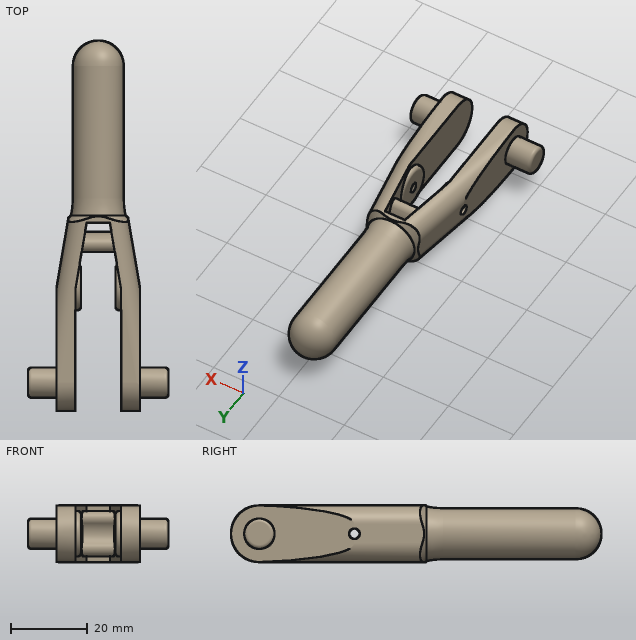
import cadquery as cq
import math


ROD_RADIUS = 6.75
ROD_TIP_Y = 90.0

FORK_HEIGHT = 15.0
FORK_WIDTH = 22.0
ARM_THICKNESS = 5.0
TAPER_ANGLE = 9.65
TAPER_START_Y = 25.0
ARM_EDGE_RADIUS = 5.0
SLOT_END_Y = 42.0

NECK_ARC_START_Y = 44.0
NECK_ARC_START_RADIUS = 7.2
NECK_ARC_END_Y = 48.4
NECK_CONE_BASE_RADIUS = 16.0

PIN_RADIUS = 4.0
PIN_SPAN = 37.0
PIN_EDGE_RADIUS = 1.0

DISC_Y = 25.0
DISC_RADIUS = 6.0
DISC_GAP = 9.0
DISC_EDGE_RADIUS = 1.0
CROSS_HOLE_RADIUS = 1.35

BAR_CENTER_Y = 31.4
BAR_MID_RADIUS = 6.3
BAR_THICKNESS = 4.0
BAR_HALF_ANGLE = 39.0

half_height = FORK_HEIGHT / 2
half_width = FORK_WIDTH / 2
slot_half_width = half_width - ARM_THICKNESS
taper_slope = math.tan(math.radians(TAPER_ANGLE))
taper_thickness_x = ARM_THICKNESS / math.cos(math.radians(TAPER_ANGLE))


def outer_taper_x(y):
    """X of the tapered outer arm face."""
    return half_width - (y - TAPER_START_Y) * taper_slope


def inner_taper_x(y):
    """X of the tapered inner arm face, parallel to the outer one."""
    return outer_taper_x(y) - taper_thickness_x


def cylinder_x(radius, y, x_start, x_end):
    """Cylinder parallel to X between two X positions."""
    return (
        cq.Workplane("YZ", origin=(x_start, 0, 0))
        .center(y, 0)
        .circle(radius)
        .extrude(x_end - x_start)
    )


def mirrored_pair(body):
    """A body together with its mirror image across the YZ plane."""
    return body.union(body.mirror("YZ"))


def make_fork_blank():
    """Tapered wedge with rounded long edges, trimmed to width and rounded about the pin."""
    wedge = (
        cq.Workplane("XY", origin=(0, 0, -half_height))
        .moveTo(-outer_taper_x(-half_height), -half_height)
        .lineTo(outer_taper_x(-half_height), -half_height)
        .lineTo(outer_taper_x(NECK_ARC_END_Y), NECK_ARC_END_Y)
        .lineTo(-outer_taper_x(NECK_ARC_END_Y), NECK_ARC_END_Y)
        .close()
        .extrude(FORK_HEIGHT)
        .edges("not(|X or |Z)")
        .fillet(ARM_EDGE_RADIUS)
    )
    side_outline = (
        cq.Workplane("YZ", origin=(-half_width, 0, 0))
        .moveTo(NECK_ARC_END_Y, -half_height)
        .lineTo(NECK_ARC_END_Y, half_height)
        .lineTo(0, half_height)
        .threePointArc((-half_height, 0), (0, -half_height))
        .close()
        .extrude(FORK_WIDTH)
    )
    return wedge.intersect(side_outline)


def make_neck_envelope():
    """45 degree cone about the rod axis that rounds off the rear end of the fork."""
    cone_start_y = NECK_ARC_START_Y - (NECK_CONE_BASE_RADIUS - NECK_ARC_START_RADIUS)
    return (
        cq.Workplane("XY")
        .moveTo(0, -half_height)
        .lineTo(NECK_CONE_BASE_RADIUS, -half_height)
        .lineTo(NECK_CONE_BASE_RADIUS, cone_start_y)
        .lineTo(NECK_ARC_START_RADIUS, NECK_ARC_START_Y)
        .lineTo(0, NECK_ARC_START_Y)
        .close()
        .revolve(360, (0, 0, 0), (0, 1, 0))
    )


def make_rod():
    """Round rod with a hemispherical tip and a concave flare onto the neck."""
    dome_start_y = ROD_TIP_Y - ROD_RADIUS
    dome_mid = ROD_RADIUS * math.sqrt(0.5)
    return (
        cq.Workplane("XY")
        .moveTo(0, ROD_TIP_Y)
        .threePointArc((dome_mid, dome_start_y + dome_mid), (ROD_RADIUS, dome_start_y))
        .lineTo(ROD_RADIUS, NECK_ARC_END_Y)
        .tangentArcPoint((NECK_ARC_START_RADIUS, NECK_ARC_START_Y), relative=False)
        .lineTo(0, NECK_ARC_START_Y)
        .close()
        .revolve(360, (0, 0, 0), (0, 1, 0))
    )


def make_slot():
    """Gap between the arms: parallel in front, narrowing along the tapered inner faces."""
    front_y = -half_height
    bend_y = TAPER_START_Y + (half_width - taper_thickness_x - slot_half_width) / taper_slope
    end_half_width = inner_taper_x(SLOT_END_Y)
    return (
        cq.Workplane("XY", origin=(0, 0, -half_height))
        .moveTo(-slot_half_width, front_y)
        .lineTo(slot_half_width, front_y)
        .lineTo(slot_half_width, bend_y)
        .lineTo(end_half_width, SLOT_END_Y)
        .lineTo(-end_half_width, SLOT_END_Y)
        .lineTo(-slot_half_width, bend_y)
        .close()
        .extrude(FORK_HEIGHT)
    )


def make_pin_stubs():
    """Round stubs standing out from the outer arm faces."""
    stub = (
        cylinder_x(PIN_RADIUS, 0, slot_half_width, PIN_SPAN / 2)
        .faces(">X")
        .edges()
        .fillet(PIN_EDGE_RADIUS)
    )
    return mirrored_pair(stub)


def make_discs():
    """Raised discs on the inner arm faces, rounded toward the gap."""
    disc_end_x = outer_taper_x(DISC_Y + DISC_RADIUS) - ARM_THICKNESS / 2
    disc = (
        cylinder_x(DISC_RADIUS, DISC_Y, DISC_GAP / 2, disc_end_x)
        .faces("<X")
        .edges()
        .fillet(DISC_EDGE_RADIUS)
    )
    return mirrored_pair(disc)


def make_bar():
    """Curved bar joining the arms, open toward the pin."""
    bar_half_length = outer_taper_x(BAR_CENTER_Y + BAR_MID_RADIUS) - ARM_THICKNESS / 2
    inner_radius = BAR_MID_RADIUS - BAR_THICKNESS / 2
    outer_radius = BAR_MID_RADIUS + BAR_THICKNESS / 2

    def ring_point(radius, degrees):
        angle = math.radians(degrees)
        return (BAR_CENTER_Y + radius * math.cos(angle), radius * math.sin(angle))

    return (
        cq.Workplane("YZ", origin=(-bar_half_length, 0, 0))
        .moveTo(*ring_point(outer_radius, -BAR_HALF_ANGLE))
        .threePointArc(ring_point(outer_radius, 0), ring_point(outer_radius, BAR_HALF_ANGLE))
        .tangentArcPoint(ring_point(inner_radius, BAR_HALF_ANGLE), relative=False)
        .threePointArc(ring_point(inner_radius, 0), ring_point(inner_radius, -BAR_HALF_ANGLE))
        .tangentArcPoint(ring_point(outer_radius, -BAR_HALF_ANGLE), relative=False)
        .close()
        .extrude(2 * bar_half_length)
    )


fork = make_fork_blank().intersect(make_neck_envelope()).cut(make_slot())
body = fork.union(make_rod())
for attachment in (make_pin_stubs(), make_discs(), make_bar()):
    body = body.union(attachment)
cross_hole = cylinder_x(CROSS_HOLE_RADIUS, DISC_Y, -half_width, half_width)
result = body.cut(cross_hole)